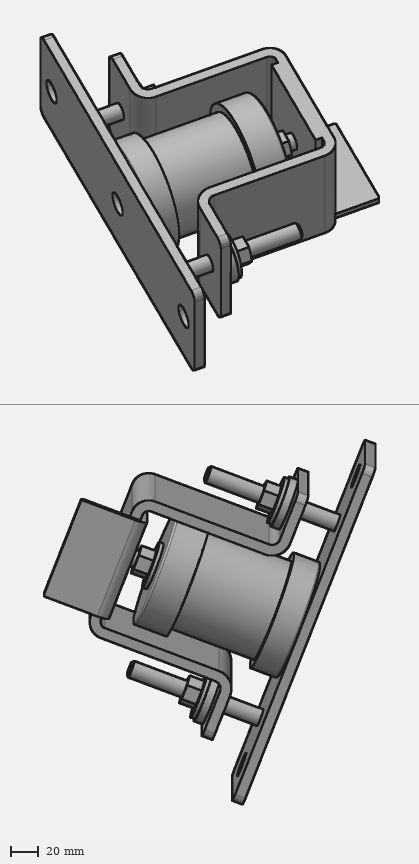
import cadquery as cq
import math

PLATE_LENGTH = 266.7
HEIGHT = 89.0
PLATE_THICKNESS = 8.0
CORNER_RADIUS = 6.1
HOLE_DIAMETER = 17.5
HOLE_OFFSET = 114.1

COLLAR_RADIUS = HEIGHT / 2
BUSHING_RADIUS = 38.1
LOWER_COLLAR_LENGTH = 20.5
BARREL_LENGTH = 65.0
UPPER_COLLAR_LENGTH = 25.3
COLLAR_EDGE_RADIUS = 1.5

STRIP_THICKNESS = 8.0
BRACKET_FOOT_Y = 37.5
BRACKET_TOP_Y = 152.5
BRACKET_HALF_WIDTH = 54.1
FOOT_END_X = 96.5
TOP_BEND_INNER_RADIUS = 4.8
FOOT_BEND_INNER_RADIUS = 6.1

TAB_WIDTH = 76.3
TAB_THICKNESS = 5.0
TAB_BEND_INNER_RADIUS = 4.3
TAB_END_Y = 190.5
TAB_CORNER_RADIUS = 1.5

STUD_RADIUS = 6.5
STUD_OFFSET = 77.0
STUD_END_Y = 109.0
STUD_CHAMFER = 1.5
NUT_ACROSS_FLATS = 19.0
NUT_HEIGHT = 11.2
WASHER_RADIUS = 17.5
WASHER_THICKNESS = 3.2
SPACER_RADIUS = 19.2
SPACER_THICKNESS = 6.5


def cylinder(x, start_y, length, radius):
    """Cylinder along +Y, centred on Z = 0."""
    axis_start = cq.Vector(x, start_y, 0)
    return cq.Workplane(cq.Solid.makeCylinder(radius, length, axis_start, cq.Vector(0, 1, 0)))


def washer_and_nut(x, start_y):
    """Round washer topped by a hexagon nut with two corners along X."""
    across_corners = NUT_ACROSS_FLATS / math.cos(math.pi / 6)
    nut_plane = cq.Plane(origin=(x, start_y + WASHER_THICKNESS, 0), xDir=(1, 0, 0), normal=(0, 1, 0))
    nut = cq.Workplane(nut_plane).polygon(6, across_corners).extrude(NUT_HEIGHT)
    return cylinder(x, start_y, WASHER_THICKNESS, WASHER_RADIUS).union(nut)


def base_plate():
    plate = (
        cq.Workplane("XY")
        .box(PLATE_LENGTH, PLATE_THICKNESS, HEIGHT)
        .edges("|Y")
        .fillet(CORNER_RADIUS)
        .translate((0, PLATE_THICKNESS / 2, 0))
    )
    for x in (-HOLE_OFFSET, 0, HOLE_OFFSET):
        plate = plate.cut(cylinder(x, 0, PLATE_THICKNESS, HOLE_DIAMETER / 2))
    return plate


def bushing():
    barrel_y = PLATE_THICKNESS + LOWER_COLLAR_LENGTH
    upper_y = barrel_y + BARREL_LENGTH
    top_y = upper_y + UPPER_COLLAR_LENGTH
    lower = cylinder(0, PLATE_THICKNESS, LOWER_COLLAR_LENGTH, COLLAR_RADIUS)
    upper = cylinder(0, upper_y, UPPER_COLLAR_LENGTH, COLLAR_RADIUS)
    lower = lower.faces("<Y").edges().fillet(COLLAR_EDGE_RADIUS)
    upper = upper.faces(">Y").edges().fillet(COLLAR_EDGE_RADIUS)
    barrel = cylinder(0, barrel_y, BARREL_LENGTH, BUSHING_RADIUS)
    center_stud = cylinder(0, top_y, BRACKET_TOP_Y - STRIP_THICKNESS - top_y, STUD_RADIUS)
    return lower.union(barrel).union(upper).union(center_stud).union(washer_and_nut(0, top_y))


def bracket():
    inner_half_width = BRACKET_HALF_WIDTH - STRIP_THICKNESS
    inner_top_y = BRACKET_TOP_Y - STRIP_THICKNESS
    foot_top_y = BRACKET_FOOT_Y + STRIP_THICKNESS
    outline = [
        (-FOOT_END_X, BRACKET_FOOT_Y),
        (-inner_half_width, BRACKET_FOOT_Y),
        (-inner_half_width, inner_top_y),
        (inner_half_width, inner_top_y),
        (inner_half_width, BRACKET_FOOT_Y),
        (FOOT_END_X, BRACKET_FOOT_Y),
        (FOOT_END_X, foot_top_y),
        (BRACKET_HALF_WIDTH, foot_top_y),
        (BRACKET_HALF_WIDTH, BRACKET_TOP_Y),
        (-BRACKET_HALF_WIDTH, BRACKET_TOP_Y),
        (-BRACKET_HALF_WIDTH, foot_top_y),
        (-FOOT_END_X, foot_top_y),
    ]
    hat = cq.Workplane("XY").polyline(outline).close().extrude(HEIGHT / 2, both=True)

    bend_edges = [
        (BRACKET_HALF_WIDTH, BRACKET_TOP_Y, TOP_BEND_INNER_RADIUS + STRIP_THICKNESS),
        (inner_half_width, inner_top_y, TOP_BEND_INNER_RADIUS),
        (inner_half_width, BRACKET_FOOT_Y, FOOT_BEND_INNER_RADIUS + STRIP_THICKNESS),
        (BRACKET_HALF_WIDTH, foot_top_y, FOOT_BEND_INNER_RADIUS),
    ]
    for x, y, radius in bend_edges:
        for side in (-1, 1):
            edge = cq.selectors.NearestToPointSelector((side * x, y, 0))
            hat = hat.edges("|Z").edges(edge).fillet(radius)

    return hat.faces("<X or >X").edges("|Y").fillet(CORNER_RADIUS)


def tab():
    back_y = BRACKET_TOP_Y - STRIP_THICKNESS
    front_y = back_y - TAB_THICKNESS
    bend_z = -HEIGHT / 2
    leaf_top_z = bend_z - TAB_BEND_INNER_RADIUS
    leaf_bottom_z = leaf_top_z - TAB_THICKNESS
    outer_radius = TAB_BEND_INNER_RADIUS + TAB_THICKNESS
    bend_end_y = front_y + outer_radius
    return (
        cq.Workplane("YZ")
        .moveTo(front_y, HEIGHT / 2)
        .lineTo(front_y, bend_z)
        .radiusArc((bend_end_y, leaf_bottom_z), -outer_radius)
        .lineTo(TAB_END_Y, leaf_bottom_z)
        .lineTo(TAB_END_Y, leaf_top_z)
        .lineTo(bend_end_y, leaf_top_z)
        .radiusArc((back_y, bend_z), TAB_BEND_INNER_RADIUS)
        .lineTo(back_y, HEIGHT / 2)
        .close()
        .extrude(TAB_WIDTH / 2, both=True)
        .faces(">Y")
        .edges("|Z")
        .fillet(TAB_CORNER_RADIUS)
    )


def side_fastener(x):
    """Stud rising from the plate through a bracket foot, with spacer, washer and nut."""
    spacer_y = BRACKET_FOOT_Y + STRIP_THICKNESS
    stud = cylinder(x, PLATE_THICKNESS, STUD_END_Y - PLATE_THICKNESS, STUD_RADIUS)
    stud = stud.faces(">Y").chamfer(STUD_CHAMFER)
    spacer = cylinder(x, spacer_y, SPACER_THICKNESS, SPACER_RADIUS)
    return stud.union(spacer).union(washer_and_nut(x, spacer_y + SPACER_THICKNESS))


result = base_plate().union(bushing()).union(bracket()).union(tab())
for stud_x in (-STUD_OFFSET, STUD_OFFSET):
    result = result.union(side_fastener(stud_x))